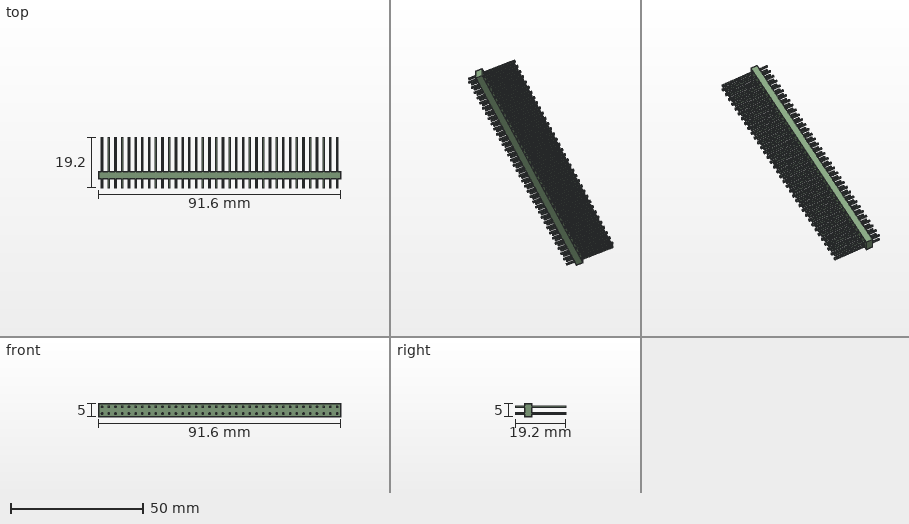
import cadquery as cq

pitch = 2.54
pins_per_row = 36
row_count = 2
body_length = 91.6
body_depth = 2.7
body_height = 5.0
first_pin_offset = pitch / 2
post_size = 0.63
tail_diameter = post_size
overall_depth = 19.2
tail_length = 3.5

post_length = overall_depth - body_depth - tail_length


def make_body():
    """Housing bar with its -X end at X = 0, its front face at Y = 0, centred on Z = 0."""
    return cq.Workplane("XY").box(body_length, body_depth, body_height, centered=(False, False, True))


def pin_positions():
    """X and Z of every pin, column by column."""
    bottom_row = -pitch * (row_count - 1) / 2
    return [
        (first_pin_offset + column * pitch, bottom_row + row * pitch)
        for column in range(pins_per_row)
        for row in range(row_count)
    ]


def add_posts(part):
    """Long square posts standing on the rear (+Y) face of the body."""
    rear_face = cq.Workplane("XZ", origin=(0, body_depth, 0))
    posts = rear_face.pushPoints(pin_positions()).rect(post_size, post_size).extrude(-post_length)
    return part.union(posts)


def add_tails(part):
    """Short round tails standing on the front (-Y) face of the body."""
    front_face = cq.Workplane("XZ")
    tails = front_face.pushPoints(pin_positions()).circle(tail_diameter / 2).extrude(tail_length)
    return part.union(tails)


result = add_tails(add_posts(make_body()))